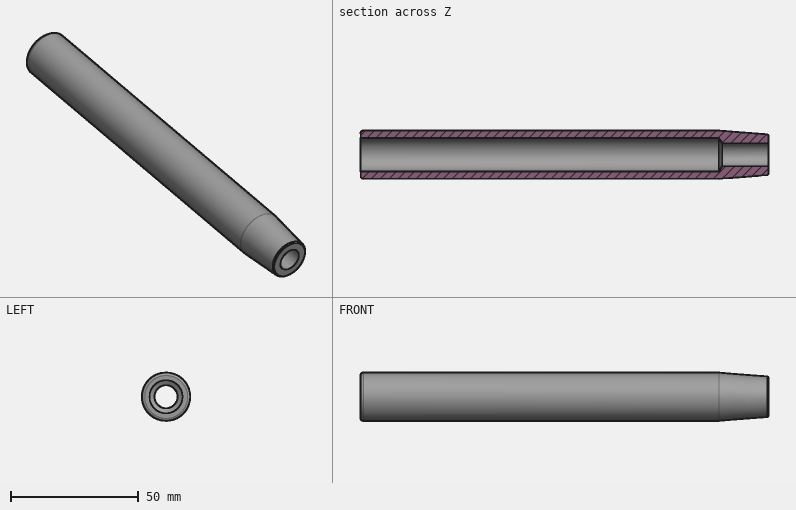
import cadquery as cq

length = 160.0
body_diameter = 19.0
nose_length = 19.5
tip_diameter = 16.0
bore_diameter = 13.0
outlet_diameter = 9.0
mouth_fillet = 1.1
tip_chamfer = 0.5
bore_cone_length = 1.3

mouth_x = -length / 2
tip_x = length / 2
shoulder_x = tip_x - nose_length


def nozzle_body():
    """Revolve the half section: straight body, tapered nose and a bore that narrows in the nose."""
    half_section = (
        cq.Workplane("XY")
        .moveTo(mouth_x, bore_diameter / 2)
        .lineTo(mouth_x, body_diameter / 2)
        .lineTo(shoulder_x, body_diameter / 2)
        .lineTo(tip_x, tip_diameter / 2)
        .lineTo(tip_x, outlet_diameter / 2)
        .lineTo(shoulder_x + bore_cone_length, outlet_diameter / 2)
        .lineTo(shoulder_x, bore_diameter / 2)
        .close()
    )
    return half_section.revolve(360, (0, 0, 0), (1, 0, 0))


def outer_rim(end_face):
    """Select the largest circular edge of an end face."""
    return end_face.edges(cq.selectors.RadiusNthSelector(-1))


result = nozzle_body()
result = outer_rim(result.faces("<X")).fillet(mouth_fillet)
result = outer_rim(result.faces(">X")).chamfer(tip_chamfer)